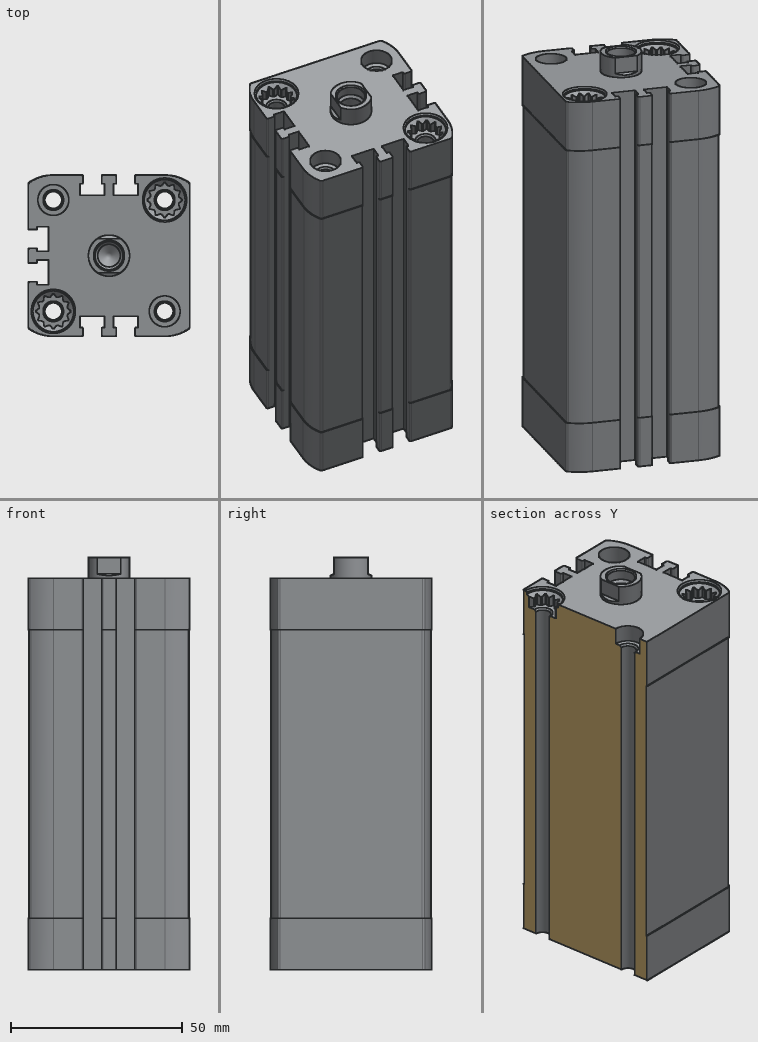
import cadquery as cq
import math

TOTAL_HEIGHT = 120.0
ROD_PROJECTION = 6.0
CAP_WIDTH = 47.0
CAP_HEIGHT = 15.0
BARREL_INSET = 0.2
HOUSING_HEIGHT = TOTAL_HEIGHT - ROD_PROJECTION
BARREL_HEIGHT = HOUSING_HEIGHT - 2 * CAP_HEIGHT

CORNER_ARC_START = 16.2
CORNER_ARC_RADIUS = 12.6
CORNER_EDGE_FILLET = 1.0

SLOT_DEPTH = 5.9
LIP_DEPTH = 2.6
THROAT_INNER = 2.2
THROAT_OUTER = 7.5
UNDERCUT_INNER = 1.3
UNDERCUT_OUTER = 8.4
LIP_FILLET = 0.4

HOLE_OFFSET = 16.2
THREAD_CORE_DIAMETER = 4.9
THREAD_MOUTH_DIAMETER = 6.0
COUNTERBORE_DIAMETER = 9.0
COUNTERBORE_DEPTH = 5.0

SOCKET_MOUTH_DIAMETER = 12.8
SOCKET_BORE_DIAMETER = 11.9
SOCKET_BORE_DEPTH = 1.0
SOCKET_DEPTH = 5.0
SPLINE_TEETH = 12
SPLINE_ROOT_DIAMETER = 10.2
SPLINE_CREST_DIAMETER = 8.5
SPLINE_ROOT_ANGLE = 3.0
SPLINE_CREST_ANGLE = 6.0
SPLINE_LEAD_IN_DEPTH = 1.2

ROD_DIAMETER = 12.0
ROD_SEAT_DEPTH = 12.0
FLAT_WIDTH = 10.0
FLAT_HEIGHT = 4.8
FLAT_LEDGE_DROP = 0.5
ROD_MOUTH_DIAMETER = 9.0
ROD_BORE_DIAMETER = 8.2
ROD_BORE_DEPTH = 3.4
ROD_CORE_DIAMETER = 6.6
ROD_CORE_DEPTH = 12.0
DRILL_POINT_ANGLE = 118.0


def frustum(top_diameter, bottom_diameter, top_z, depth):
    """Cone or cylinder around Z that reaches down from top_z."""
    direction = cq.Vector(0, 0, -1)
    start = cq.Vector(0, 0, top_z)
    if top_diameter == bottom_diameter:
        return cq.Workplane(cq.Solid.makeCylinder(top_diameter / 2, depth, start, direction))
    return cq.Workplane(cq.Solid.makeCone(top_diameter / 2, bottom_diameter / 2, depth, start, direction))


def housing_block(inset, height, base_z):
    """Square block whose four vertical corners are shallow arcs tangent to the front and back."""
    half = CAP_WIDTH / 2 - inset
    radius = CORNER_ARC_RADIUS - inset
    centre_y = half - radius
    end_angle = math.acos((half - CORNER_ARC_START) / radius)
    middle_angle = (math.pi / 2 + end_angle) / 2
    end_y = centre_y + radius * math.sin(end_angle)
    middle_x = CORNER_ARC_START + radius * math.cos(middle_angle)
    middle_y = centre_y + radius * math.sin(middle_angle)
    return (
        cq.Workplane("XY", origin=(0, 0, base_z))
        .moveTo(-CORNER_ARC_START, half)
        .lineTo(CORNER_ARC_START, half)
        .threePointArc((middle_x, middle_y), (half, end_y))
        .lineTo(half, -end_y)
        .threePointArc((middle_x, -middle_y), (CORNER_ARC_START, -half))
        .lineTo(-CORNER_ARC_START, -half)
        .threePointArc((-middle_x, -middle_y), (-half, -end_y))
        .lineTo(-half, end_y)
        .threePointArc((-middle_x, middle_y), (-CORNER_ARC_START, half))
        .close()
        .extrude(height)
        .edges("|Z")
        .edges("<X or >X")
        .fillet(CORNER_EDGE_FILLET)
    )


def slot_pair(inset, height, base_z):
    """Cutter for the two T-slots of the -Y face, with lips rounded on both edges."""
    face_y = -CAP_WIDTH / 2
    mouth_y = face_y + inset
    lip_y = face_y + LIP_DEPTH
    floor_y = face_y + SLOT_DEPTH
    throat_middle = (THROAT_INNER + THROAT_OUTER) / 2
    throat_half = (THROAT_OUTER - THROAT_INNER) / 2
    undercut_middle = (UNDERCUT_INNER + UNDERCUT_OUTER) / 2
    flare = throat_half + LIP_FILLET
    bend = LIP_FILLET * (1 - math.sqrt(0.5))
    cutters = cq.Workplane("XY")
    for side in (-1, 1):
        undercut = (
            cq.Workplane("XY", origin=(side * undercut_middle, (lip_y + floor_y) / 2, base_z))
            .rect(UNDERCUT_OUTER - UNDERCUT_INNER, floor_y - lip_y)
            .extrude(height)
        )
        throat = (
            cq.Workplane("XY", origin=(side * throat_middle, 0, base_z))
            .moveTo(-flare, mouth_y)
            .threePointArc((-throat_half - bend, mouth_y + bend), (-throat_half, mouth_y + LIP_FILLET))
            .lineTo(-throat_half, lip_y - LIP_FILLET)
            .threePointArc((-throat_half - bend, lip_y - bend), (-flare, lip_y))
            .lineTo(flare, lip_y)
            .threePointArc((throat_half + bend, lip_y - bend), (throat_half, lip_y - LIP_FILLET))
            .lineTo(throat_half, mouth_y + LIP_FILLET)
            .threePointArc((throat_half + bend, mouth_y + bend), (flare, mouth_y))
            .close()
            .extrude(height)
        )
        cutters = cutters.add(undercut.union(throat))
    return cutters.combine()


def housing_section(inset, height, base_z):
    """Length of housing with slots in the front, left and back faces."""
    section = housing_block(inset, height, base_z)
    for angle in (0, -90, 180):
        cutter = slot_pair(inset, height, base_z).rotate((0, 0, 0), (0, 0, 1), angle)
        section = section.cut(cutter)
    return section


def threaded_hole(floor_depth):
    """Through hole with a conical mouth at floor_depth below the housing top."""
    mouth_depth = (THREAD_MOUTH_DIAMETER - THREAD_CORE_DIAMETER) / 2
    core = frustum(THREAD_CORE_DIAMETER, THREAD_CORE_DIAMETER, HOUSING_HEIGHT, HOUSING_HEIGHT)
    mouth = frustum(
        THREAD_MOUTH_DIAMETER, THREAD_CORE_DIAMETER, HOUSING_HEIGHT - floor_depth, mouth_depth
    )
    return core.union(mouth)


def counterbored_hole():
    bore = frustum(COUNTERBORE_DIAMETER, COUNTERBORE_DIAMETER, HOUSING_HEIGHT, COUNTERBORE_DEPTH)
    return threaded_hole(COUNTERBORE_DEPTH).union(bore)


def polar_point(diameter, degrees):
    angle = math.radians(degrees)
    return (diameter / 2 * math.cos(angle), diameter / 2 * math.sin(angle))


def spline_outline(base_z):
    """Ring of root and crest arcs joined by straight flanks."""
    pitch = 360 / SPLINE_TEETH
    root_half = SPLINE_ROOT_ANGLE / 2
    crest_half = SPLINE_CREST_ANGLE / 2
    outline = cq.Workplane("XY", origin=(0, 0, base_z))
    outline = outline.moveTo(*polar_point(SPLINE_ROOT_DIAMETER, -root_half))
    for tooth in range(SPLINE_TEETH):
        root = tooth * pitch
        crest = root + pitch / 2
        outline = (
            outline.threePointArc(
                polar_point(SPLINE_ROOT_DIAMETER, root),
                polar_point(SPLINE_ROOT_DIAMETER, root + root_half),
            )
            .lineTo(*polar_point(SPLINE_CREST_DIAMETER, crest - crest_half))
            .threePointArc(
                polar_point(SPLINE_CREST_DIAMETER, crest),
                polar_point(SPLINE_CREST_DIAMETER, crest + crest_half),
            )
            .lineTo(*polar_point(SPLINE_ROOT_DIAMETER, root + pitch - root_half))
        )
    return outline.close()


def socket_hole():
    """Chamfered round bore, conical lead-in, then an internal spline down to the floor."""
    chamfer = (SOCKET_MOUTH_DIAMETER - SOCKET_BORE_DIAMETER) / 2
    lead_in_z = HOUSING_HEIGHT - SOCKET_BORE_DEPTH
    mouth = frustum(SOCKET_MOUTH_DIAMETER, SOCKET_BORE_DIAMETER, HOUSING_HEIGHT, chamfer)
    bore = frustum(SOCKET_BORE_DIAMETER, SOCKET_BORE_DIAMETER, HOUSING_HEIGHT, SOCKET_BORE_DEPTH)
    lead_in = frustum(SOCKET_BORE_DIAMETER, SPLINE_CREST_DIAMETER, lead_in_z, SPLINE_LEAD_IN_DEPTH)
    spline = spline_outline(HOUSING_HEIGHT - SOCKET_DEPTH).extrude(SOCKET_DEPTH - SOCKET_BORE_DEPTH)
    return threaded_hole(SOCKET_DEPTH).union(mouth).union(bore).union(lead_in).union(spline)


def make_housing():
    bottom_cap = housing_section(0, CAP_HEIGHT, 0)
    barrel = housing_section(BARREL_INSET, BARREL_HEIGHT, CAP_HEIGHT)
    top_cap = housing_section(0, CAP_HEIGHT, HOUSING_HEIGHT - CAP_HEIGHT)
    body = bottom_cap.union(barrel).union(top_cap)
    for side in (-1, 1):
        body = body.cut(counterbored_hole().translate((side * HOLE_OFFSET, -side * HOLE_OFFSET, 0)))
        body = body.cut(socket_hole().translate((side * HOLE_OFFSET, side * HOLE_OFFSET, 0)))
    return body.cut(frustum(ROD_DIAMETER, ROD_DIAMETER, HOUSING_HEIGHT, ROD_SEAT_DEPTH))


def rod_bore():
    """Chamfered bore that narrows to a core hole with a drill point."""
    chamfer = (ROD_MOUTH_DIAMETER - ROD_BORE_DIAMETER) / 2
    step_depth = (ROD_BORE_DIAMETER - ROD_CORE_DIAMETER) / 2
    point_depth = ROD_CORE_DIAMETER / 2 / math.tan(math.radians(DRILL_POINT_ANGLE / 2))
    mouth = frustum(ROD_MOUTH_DIAMETER, ROD_BORE_DIAMETER, TOTAL_HEIGHT, chamfer)
    bore = frustum(ROD_BORE_DIAMETER, ROD_BORE_DIAMETER, TOTAL_HEIGHT, ROD_BORE_DEPTH)
    step = frustum(ROD_BORE_DIAMETER, ROD_CORE_DIAMETER, TOTAL_HEIGHT - ROD_BORE_DEPTH, step_depth)
    core = frustum(ROD_CORE_DIAMETER, ROD_CORE_DIAMETER, TOTAL_HEIGHT, ROD_CORE_DEPTH)
    point = frustum(ROD_CORE_DIAMETER, 0, TOTAL_HEIGHT - ROD_CORE_DEPTH, point_depth)
    return mouth.union(bore).union(step).union(core).union(point)


def make_rod():
    rod = frustum(ROD_DIAMETER, ROD_DIAMETER, TOTAL_HEIGHT, ROD_PROJECTION + ROD_SEAT_DEPTH)
    ledge_z = TOTAL_HEIGHT - FLAT_HEIGHT
    flat = (
        cq.Workplane("YZ", origin=(-ROD_DIAMETER / 2, 0, 0))
        .moveTo(FLAT_WIDTH / 2, TOTAL_HEIGHT)
        .lineTo(FLAT_WIDTH / 2, ledge_z)
        .lineTo(ROD_DIAMETER / 2, ledge_z - FLAT_LEDGE_DROP)
        .lineTo(ROD_DIAMETER / 2, TOTAL_HEIGHT)
        .close()
        .extrude(ROD_DIAMETER)
    )
    rod = rod.cut(flat).cut(flat.mirror("XZ"))
    return rod.cut(rod_bore())


housing = make_housing()
rod = make_rod()
result = cq.Compound.makeCompound([housing.val(), rod.val()])